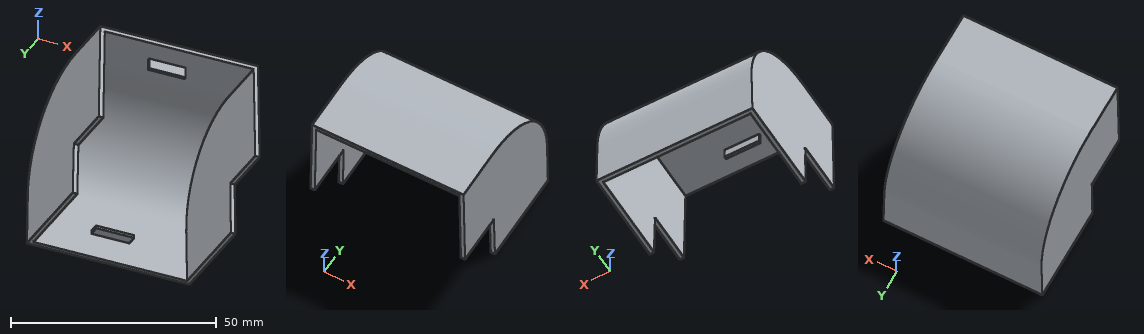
import cadquery as cq

base_width = 43.9
top_width = 42.6
height = 40.0
depth = height
wall = 1.25

notch = 14.0
notch_lean = 0.15

bend_radius = height - notch

tab_reach = 2.75
tab_thickness = 0.75
tab_offset = 6.6
back_tab_width = 10.25
roof_tab_width = 9.75


def bent_prism(inset):
    """Full-width elbow profile in YZ, with roof and back set in by the given amount."""
    roof = height - inset
    back = depth - inset
    radius = bend_radius - inset
    return (
        cq.Workplane("YZ")
        .moveTo(0, 0)
        .lineTo(back, 0)
        .lineTo(back, roof - radius)
        .radiusArc((back - radius, roof), -radius)
        .lineTo(0, roof)
        .close()
        .extrude(base_width / 2, both=True)
    )


def leaning_sides(inset):
    """Prism along Y whose two sides lean inward towards the roof."""
    half_base = base_width / 2 - inset
    half_top = top_width / 2 - inset
    return (
        cq.Workplane("XZ")
        .polyline([(-half_base, 0), (half_base, 0), (half_top, height), (-half_top, height)])
        .close()
        .extrude(-depth)
    )


def elbow(inset):
    """Solid elbow, reaching both open ends, with its closed faces set in by the given amount."""
    return bent_prism(inset).intersect(leaning_sides(inset))


def side_notch():
    """Cutter across the full width, clearing both side walls at once."""
    return (
        cq.Workplane("YZ")
        .polyline([(0, 0), (notch + notch_lean, 0), (notch, notch), (0, notch)])
        .close()
        .extrude(base_width / 2, both=True)
    )


def back_tab():
    """Shelf standing out of the back wall into the cavity."""
    return (
        cq.Workplane("XY")
        .box(back_tab_width, tab_reach + wall, tab_thickness, centered=(True, False, False))
        .translate((0, depth - wall - tab_reach, tab_offset))
    )


def roof_tab():
    """Plate hanging from the roof into the cavity."""
    return (
        cq.Workplane("XY")
        .box(roof_tab_width, tab_thickness, tab_reach + wall, centered=(True, False, False))
        .translate((0, tab_offset, height - wall - tab_reach))
    )


shell = elbow(0).cut(elbow(wall)).cut(side_notch())
result = shell.union(back_tab()).union(roof_tab())